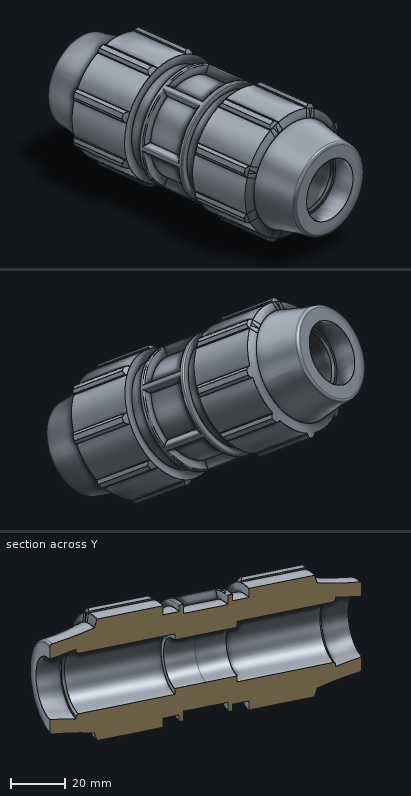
import cadquery as cq
import math

LENGTH = 126.0
TIP_X = LENGTH / 2

BODY_RADIUS = 21.61

BORE_RADIUS = 10.02
SOCKET_RADIUS = 12.5
SOCKET_DEPTH = 50.4
SOCKET_CHAMFER = 0.9
MOUTH_RADIUS = SOCKET_RADIUS
MOUTH_END_RADIUS = 14.4
MOUTH_DEPTH = 10.6

NUT_RADIUS = 25.39
NUT_INNER_X = 17.3
SHOULDER_X = 43.91
NOSE_BASE_X = 45.1
NOSE_BASE_RADIUS = 21.9

TIP_RADIUS = 18.71
TIP_FILLET = 1.1
NOSE_SAG = 0.32

GRIP_COUNT = 8
GRIP_WIDTH = 4.4
GRIP_TOP_RADIUS = 27.0
GRIP_EDGE_CHAMFER = 1.1
GRIP_END_CHAMFER = 1.5

BAND_RADIUS = 24.3
BAND_WIDTH = 21.8
WINDOW_WIDTH = 17.6
WINDOW_FLOOR_RADIUS = 20.4
BAR_COUNT = 6
BAR_WIDTH = 2.5
BAND_FILLET = 0.5


def revolve_about_x(profile):
    """Full turn of a closed XY profile about the X axis."""
    return profile.close().revolve(360, (0, 0, 0), (1, 0, 0))


def centred_disc(radius, width):
    return cq.Workplane("YZ").circle(radius).extrude(width / 2, both=True)


def make_band():
    """Two flanges joined by bars, with the outer edges and window edges rounded."""
    windows = centred_disc(BAND_RADIUS, WINDOW_WIDTH).cut(centred_disc(WINDOW_FLOOR_RADIUS, WINDOW_WIDTH))
    bar_length = BAND_RADIUS + 1.3
    bar = cq.Workplane("XY").box(LENGTH, bar_length, BAR_WIDTH, centered=(True, False, True))
    for index in range(BAR_COUNT):
        windows = windows.cut(bar.rotate((0, 0, 0), (1, 0, 0), index * 360 / BAR_COUNT))
    band = centred_disc(BAND_RADIUS, BAND_WIDTH).cut(windows)

    outer_face = [
        face
        for face in band.faces("%CYLINDER").vals()
        if face.BoundingBox().xlen > WINDOW_WIDTH + 1.3
    ][0]
    rounded_edges = [
        edge
        for edge in outer_face.Edges()
        if edge.geomType() != "LINE" or edge.Length() < WINDOW_WIDTH + 1.3
    ]
    return band.newObject(rounded_edges).fillet(BAND_FILLET)


def make_sleeve():
    """Nut on the +X side without its grip ribs."""
    profile = (
        cq.Workplane("XY")
        .moveTo(NUT_INNER_X, 0)
        .lineTo(NUT_INNER_X, NUT_RADIUS)
        .lineTo(SHOULDER_X, NUT_RADIUS)
        .lineTo(NOSE_BASE_X, NOSE_BASE_RADIUS)
        .sagittaArc((TIP_X, TIP_RADIUS), -NOSE_SAG)
        .lineTo(TIP_X, 0)
    )
    return revolve_about_x(profile).faces(">X").edges().fillet(TIP_FILLET)


def make_grips():
    """Grip ribs with bevelled long edges; the ends follow the shoulder and an inner bevel."""
    half_width = GRIP_WIDTH / 2
    top_half_width = half_width - GRIP_EDGE_CHAMFER
    side_radius = GRIP_TOP_RADIUS - GRIP_EDGE_CHAMFER
    grip = (
        cq.Workplane("YZ", origin=(NUT_INNER_X, 0, 0))
        .moveTo(NOSE_BASE_RADIUS, -half_width)
        .lineTo(side_radius, -half_width)
        .lineTo(GRIP_TOP_RADIUS, -top_half_width)
        .lineTo(GRIP_TOP_RADIUS, top_half_width)
        .lineTo(side_radius, half_width)
        .lineTo(NOSE_BASE_RADIUS, half_width)
        .close()
        .extrude(NOSE_BASE_X - NUT_INNER_X)
    )

    corner_radius = math.hypot(GRIP_TOP_RADIUS, top_half_width)
    shoulder_slope = (NOSE_BASE_X - SHOULDER_X) / (NUT_RADIUS - NOSE_BASE_RADIUS)
    envelope = revolve_about_x(
        cq.Workplane("XY")
        .moveTo(NUT_INNER_X, 0)
        .lineTo(NUT_INNER_X, NUT_RADIUS)
        .lineTo(NUT_INNER_X + GRIP_END_CHAMFER, corner_radius)
        .lineTo(SHOULDER_X - (corner_radius - NUT_RADIUS) * shoulder_slope, corner_radius)
        .lineTo(NOSE_BASE_X, NOSE_BASE_RADIUS)
        .lineTo(NOSE_BASE_X, 0)
    )
    grip = grip.intersect(envelope)
    spacing = 360 / GRIP_COUNT
    grips = grip.rotate((0, 0, 0), (1, 0, 0), spacing / 2)
    for index in range(1, GRIP_COUNT):
        grips = grips.union(grip.rotate((0, 0, 0), (1, 0, 0), (index + 0.5) * spacing))
    return grips


def make_bore():
    """Half of the stepped bore on the +X side: narrow centre, pipe socket, flared mouth."""
    mouth_end_x = TIP_X - MOUTH_DEPTH
    socket_end_x = TIP_X - SOCKET_DEPTH
    return revolve_about_x(
        cq.Workplane("XY")
        .lineTo(0, BORE_RADIUS)
        .lineTo(socket_end_x, BORE_RADIUS)
        .lineTo(socket_end_x, SOCKET_RADIUS)
        .lineTo(mouth_end_x - SOCKET_CHAMFER, SOCKET_RADIUS)
        .lineTo(mouth_end_x, SOCKET_RADIUS + SOCKET_CHAMFER)
        .lineTo(mouth_end_x, MOUTH_END_RADIUS)
        .lineTo(TIP_X, MOUTH_RADIUS)
        .lineTo(TIP_X, 0)
    )


tube = centred_disc(BODY_RADIUS, 2 * NOSE_BASE_X).cut(centred_disc(BODY_RADIUS, BAND_WIDTH))
nut = make_sleeve().union(make_grips())
bore = make_bore()

result = tube.union(make_band()).union(nut).union(nut.mirror("YZ"))
result = result.cut(bore).cut(bore.mirror("YZ"))